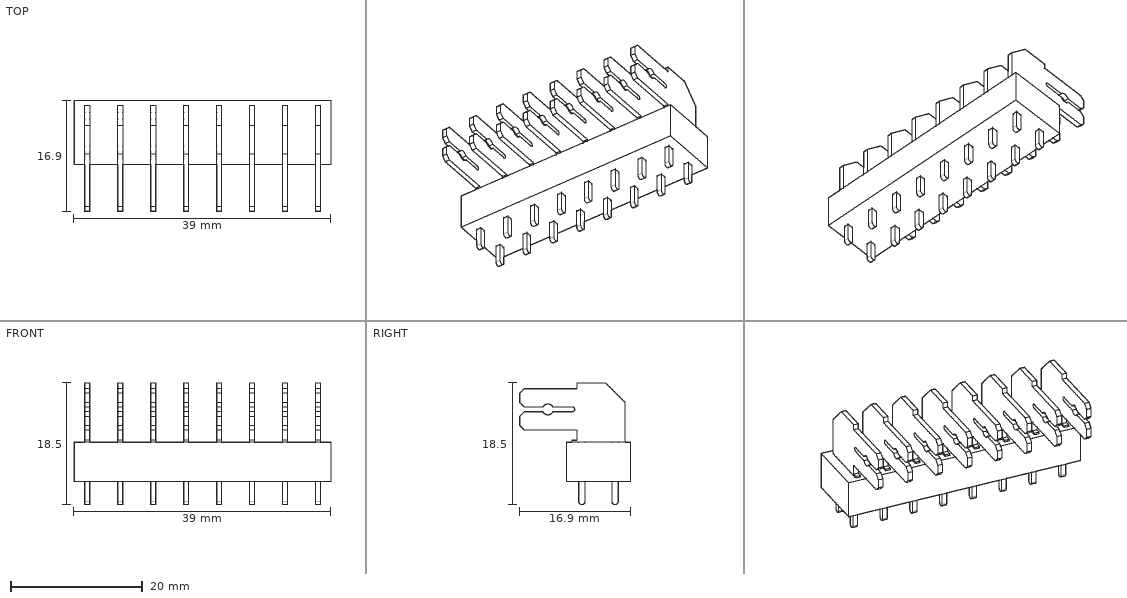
import cadquery as cq

HOUSING_LENGTH = 39.0
HOUSING_DEPTH = 9.75
HOUSING_HEIGHT = 6.0

TERMINAL_COUNT = 8
END_MARGIN = 2.0
TERMINAL_PITCH = (HOUSING_LENGTH - 2 * END_MARGIN) / (TERMINAL_COUNT - 1)
TERMINAL_THICKNESS = 0.78

PLATE_INSET = 0.8
PLATE_DEPTH = 7.35
PLATE_HEIGHT = 8.97
PLATE_CHAMFER = 2.95
FOOT_LENGTH = HOUSING_DEPTH - 2 * PLATE_INSET
FOOT_HEIGHT = 0.27

FORK_SHOULDER = 0.85
PRONG_WIDTH = 2.8
PRONG_CHAMFER = 0.7
SLOT_WIDTH = 0.7
SLOT_DEPTH = 8.35
RELIEF_RADIUS = 0.8
RELIEF_SETBACK = 4.3
OVERALL_DEPTH = 16.85

TAIL_WIDTH = 0.98
TAIL_SPACING = 5.05
TAIL_PROJECTION = 3.5

REAR_Y = HOUSING_DEPTH / 2
PLATE_REAR_Y = REAR_Y - PLATE_INSET
PLATE_FRONT_Y = PLATE_REAR_Y - PLATE_DEPTH
TIP_Y = REAR_Y - OVERALL_DEPTH
FORK_TOP_Z = PLATE_HEIGHT - FORK_SHOULDER
FORK_MIDDLE_Z = FORK_TOP_Z - PRONG_WIDTH - SLOT_WIDTH / 2

TAIL_CENTERS_Y = [-TAIL_SPACING / 2, TAIL_SPACING / 2]
TERMINAL_CENTERS_X = [(i - (TERMINAL_COUNT - 1) / 2) * TERMINAL_PITCH for i in range(TERMINAL_COUNT)]


def sheet(y_min, y_max, z_min, z_max):
    """Rectangle in the YZ plane, thickened symmetrically about X = 0."""
    return cq.Workplane("XY").box(
        TERMINAL_THICKNESS, y_max - y_min, z_max - z_min, centered=(True, False, False)
    ).translate((0, y_min, z_min))


def cross_hole(center_y, center_z, radius):
    """Cylinder along X, long enough to cut right through a terminal."""
    circle = cq.Workplane("YZ").center(center_y, center_z).circle(radius)
    return circle.extrude(TERMINAL_THICKNESS, both=True)


def make_plate():
    """Upright plate with its upper rear corner cut off, on a foot that steps forward."""
    plate = sheet(PLATE_FRONT_Y, PLATE_REAR_Y, 0, PLATE_HEIGHT)
    plate = plate.edges("|X and >Y and >Z").chamfer(PLATE_CHAMFER)
    foot = sheet(PLATE_REAR_Y - FOOT_LENGTH, PLATE_REAR_Y, 0, FOOT_HEIGHT)
    return plate.union(foot)


def make_prong(z_min):
    """One fork prong with both tip corners chamfered; it starts at the plate's front edge."""
    prong = sheet(TIP_Y, PLATE_FRONT_Y, z_min, z_min + PRONG_WIDTH)
    return prong.edges("|X and <Y").chamfer(PRONG_CHAMFER)


def make_fork():
    """Two prongs joined at the root by a web, parted by a round-ended slot with a relief hole."""
    upper_z = FORK_TOP_Z - PRONG_WIDTH
    lower_z = upper_z - SLOT_WIDTH - PRONG_WIDTH
    slot_end_center_y = TIP_Y + SLOT_DEPTH - SLOT_WIDTH / 2
    web = sheet(slot_end_center_y, PLATE_FRONT_Y, upper_z - SLOT_WIDTH, upper_z)
    fork = make_prong(upper_z).union(make_prong(lower_z)).union(web)
    slot_end = cross_hole(slot_end_center_y, FORK_MIDDLE_Z, SLOT_WIDTH / 2)
    relief = cross_hole(TIP_Y + RELIEF_SETBACK, FORK_MIDDLE_Z, RELIEF_RADIUS)
    return fork.cut(slot_end).cut(relief)


def make_tail(center_y):
    """Straight tail with a fully rounded lower end."""
    radius = TAIL_WIDTH / 2
    bottom_z = -HOUSING_HEIGHT - TAIL_PROJECTION
    return (
        cq.Workplane("YZ")
        .moveTo(center_y - radius, 0)
        .lineTo(center_y - radius, bottom_z + radius)
        .threePointArc((center_y, bottom_z), (center_y + radius, bottom_z + radius))
        .lineTo(center_y + radius, 0)
        .close()
        .extrude(TERMINAL_THICKNESS / 2, both=True)
    )


def make_terminal(center_x):
    """Flat terminal: plate, fork and two tails in one piece."""
    terminal = make_plate().union(make_fork())
    for center_y in TAIL_CENTERS_Y:
        terminal = terminal.union(make_tail(center_y))
    return terminal.translate((center_x, 0, 0))


def make_housing():
    """Bar with one rectangular through hole for every tail."""
    bar = cq.Workplane("XY").box(
        HOUSING_LENGTH, HOUSING_DEPTH, HOUSING_HEIGHT, centered=(True, True, False)
    ).translate((0, 0, -HOUSING_HEIGHT))
    tail_places = [(x, y) for x in TERMINAL_CENTERS_X for y in TAIL_CENTERS_Y]
    return bar.faces(">Z").workplane(origin=(0, 0, 0)).pushPoints(tail_places).rect(
        TERMINAL_THICKNESS, TAIL_WIDTH
    ).cutThruAll()


housing = make_housing()
terminals = [make_terminal(x) for x in TERMINAL_CENTERS_X]

result = cq.Compound.makeCompound([housing.val(), *[terminal.val() for terminal in terminals]])